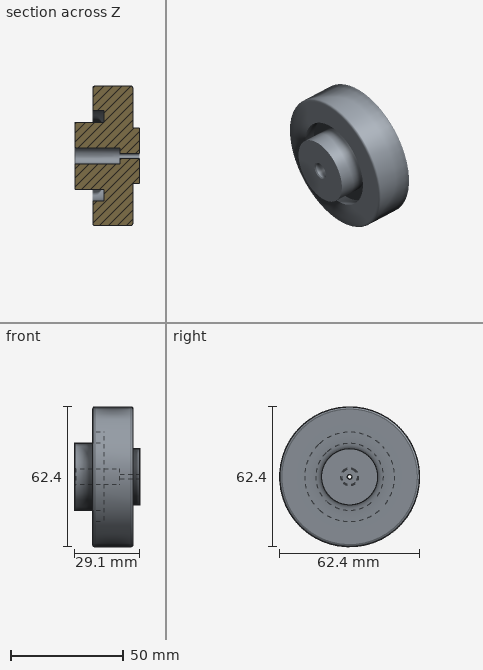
import cadquery as cq

wheel_diameter = 62.4
wheel_width = 18.0
edge_radius = 1.0

hub_diameter = 30.0
hub_length = 8.05
boss_diameter = 25.0
boss_length = 3.0

recess_diameter = 40.0
recess_depth = 5.0

bore_diameter = 7.0
bore_depth = 20.0
bore_chamfer = 0.5
pilot_diameter = 2.0

total_length = hub_length + wheel_width + boss_length
hub_face = -total_length / 2
wheel_face = hub_face + hub_length


def cylinder(start, length, diameter):
    """Solid cylinder along +X, beginning at x = start."""
    return cq.Workplane("YZ", origin=(start, 0, 0)).circle(diameter / 2).extrude(length)


wheel = cylinder(wheel_face, wheel_width, wheel_diameter).edges().fillet(edge_radius)
recess = cylinder(wheel_face, recess_depth, recess_diameter)

hub = cylinder(hub_face, hub_length + recess_depth, hub_diameter)
boss = cylinder(wheel_face + wheel_width, boss_length, boss_diameter)
body = wheel.cut(recess).union(hub).union(boss)

bore = cylinder(hub_face, bore_depth, bore_diameter)
bore_mouth_radius = bore_diameter / 2 + bore_chamfer
bore_mouth = cq.Workplane(
    cq.Solid.makeCone(
        bore_mouth_radius,
        bore_diameter / 2,
        bore_chamfer,
        pnt=cq.Vector(hub_face, 0, 0),
        dir=cq.Vector(1, 0, 0),
    )
)
pilot = cylinder(hub_face, total_length, pilot_diameter)

result = body.cut(bore).cut(bore_mouth).cut(pilot)